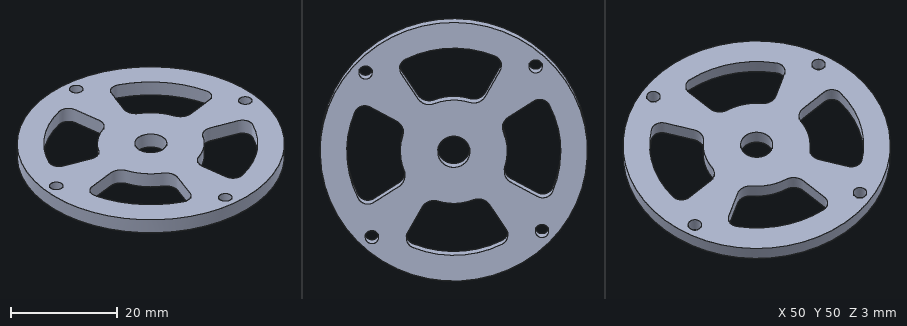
import cadquery as cq
import math

disc_radius = 25.0
thickness = 3.0
bore_diameter = 6.0

spoke_count = 4
rim_hole_diameter = 2.5
rim_hole_circle_radius = 22.5

hub_radius = 10.0
rim_inner_radius = 20.0
spoke_half_angle = 14.0
outer_corner_radius = 2.0
inner_corner_radius = 2.5

spoke_pitch = 360.0 / spoke_count


def polar_point(radius, angle):
    """Point at a radius and an angle in degrees from the X axis."""
    return (radius * math.cos(math.radians(angle)), radius * math.sin(math.radians(angle)))


def make_window():
    """Cutter for the window between the spokes on +X and +Y."""
    start_angle = spoke_half_angle
    end_angle = spoke_pitch - spoke_half_angle
    middle_angle = spoke_pitch / 2
    window = (
        cq.Workplane("XY")
        .moveTo(*polar_point(hub_radius, start_angle))
        .lineTo(*polar_point(rim_inner_radius, start_angle))
        .threePointArc(
            polar_point(rim_inner_radius, middle_angle),
            polar_point(rim_inner_radius, end_angle),
        )
        .lineTo(*polar_point(hub_radius, end_angle))
        .threePointArc(polar_point(hub_radius, middle_angle), polar_point(hub_radius, start_angle))
        .close()
        .extrude(thickness)
    )
    across_corners = cq.Vector(1, 1, 0)
    corners = window.edges("|Z").vals()
    corners.sort(key=lambda edge: edge.Center().dot(across_corners))
    hub_corners = corners[:2]
    rim_corners = corners[2:]
    window = window.newObject(hub_corners).fillet(inner_corner_radius)
    return window.newObject(rim_corners).fillet(outer_corner_radius)


disc = cq.Workplane("XY").circle(disc_radius).extrude(thickness)
disc = disc.faces(">Z").workplane().hole(bore_diameter)
disc = (
    disc.faces(">Z").workplane()
    .polarArray(rim_hole_circle_radius, 0, 360, spoke_count)
    .hole(rim_hole_diameter)
)

window_cutter = make_window()
for index in range(spoke_count):
    disc = disc.cut(window_cutter.rotate((0, 0, 0), (0, 0, 1), index * spoke_pitch))

result = disc